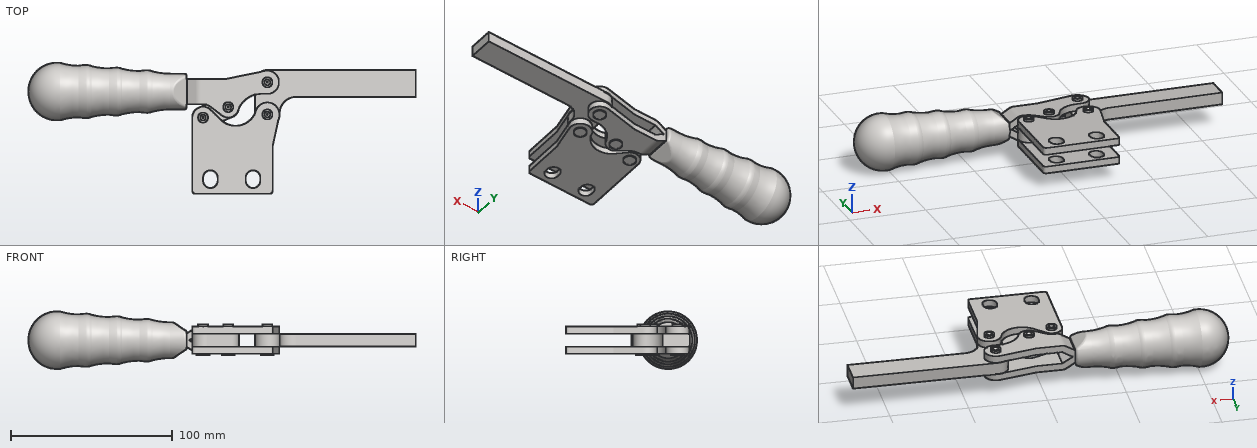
import cadquery as cq
import math


core = 8.0
core_half = core / 2
sheet = 4.5
plate_top = core_half + sheet

base_link_pin = (90.5, -16.0)
handle_link_pin = (106.0, -9.6)
handle_bar_pin = (130.5, 5.8)
base_bar_pin = (130.5, -14.2)
pins = [base_link_pin, handle_link_pin, handle_bar_pin, base_bar_pin]

ball_radius = 18.0
neck_start = 1.7
first_ring = 13.2
ring_radius = 16.0
collar_start = 70.0
ring_count = 3
ring_pitch = (collar_start - first_ring) / ring_count
ring_width = 8.0
ring_crown = 0.5
ring_crest = 4.8
ring_drop = 0.2
ring_taper = 1.64
valley_sag = 0.5
grip_end = 80.4
grip_end_round = 1.7
ramp_start = 72.0
ramp_end_half = 5.5

arm_half = 8.0
arm_start = 72.2
bend_start = 82.0
bend_angle = 31.0
bend_round = 5.8
arm_top_end = 105.0
handle_link_lobe = 6.5
handle_bar_lobe = 7.2
handle_clearance = -arm_half - base_link_pin[1]
handle_depth = 24.0
throat_radius = 15.5

base_left_lobe = 6.7
base_right_lobe = 7.5
base_left = base_link_pin[0] - base_left_lobe
base_right = 133.8
base_bottom = -63.5
base_shoulder = -34.0
base_corner = 2.0
hollow_center = (110.7, -8.0)
hollow_radius = math.dist(hollow_center, base_bar_pin) - base_right_lobe
slot_y = -54.4
slot_xs = (95.0, 121.5)
slot_width = 9.0
slot_length = 10.8

bar_lobe = 7.7
bar_end = 222.5
bar_height = 16.8
bar_fillet = 10.0
link_lobe = 6.7

rivet_radius = 3.1
rivet_top = plate_top + 1.5
rivet_dimple = 1.8
flange_radius = 4.0
flange_height = 0.7


def on_circle(center, radius, angle):
    """Point on a circle at an angle in radians."""
    return (center[0] + radius * math.cos(angle), center[1] + radius * math.sin(angle))


def crossing_tangent(center_a, radius_a, center_b, radius_b, side):
    """Tangent points of the line that passes between two circles; side +1 or -1 picks the line."""
    heading = math.atan2(center_b[1] - center_a[1], center_b[0] - center_a[0])
    lean = math.acos((radius_a + radius_b) / math.dist(center_a, center_b))
    angle = heading + side * lean
    return on_circle(center_a, radius_a, angle), on_circle(center_b, radius_b, angle + math.pi)


def tangent_angle(point, center, radius, side):
    """Angle on a circle where a line from an outside point touches it; side picks the line."""
    heading = math.atan2(point[1] - center[1], point[0] - center[0])
    return heading + side * math.acos(radius / math.dist(point, center))


def angle_of(point, center):
    return math.atan2(point[1] - center[1], point[0] - center[0])


def arc_to(sketch, center, radius, start_angle, end_angle):
    """Continue an outline along a circle between two angles."""
    middle = on_circle(center, radius, (start_angle + end_angle) / 2)
    return sketch.threePointArc(middle, on_circle(center, radius, end_angle))


def arc_toward(sketch, center, radius, start, end):
    """Continue an outline along the shorter arc of a circle between two points."""
    start_angle = angle_of(start, center)
    turn = (angle_of(end, center) - start_angle + math.pi) % math.tau - math.pi
    return arc_to(sketch, center, radius, start_angle, start_angle + turn)


def slab(sketch, bottom, top):
    """Extrude a closed outline between two heights."""
    return sketch.close().extrude(top - bottom).translate((0, 0, bottom))


def make_grip():
    neck_radius = math.sqrt(ball_radius ** 2 - neck_start ** 2)
    neck_mid = ((neck_start + first_ring) / 2, (neck_radius + ring_radius) / 2 - valley_sag)
    profile = (
        cq.Workplane("XY")
        .moveTo(-ball_radius, 0)
        .threePointArc(on_circle((0, 0), ball_radius, 0.75 * math.pi), (neck_start, neck_radius))
        .threePointArc(neck_mid, (first_ring, ring_radius))
    )
    for index in range(ring_count):
        x = first_ring + index * ring_pitch
        radius = ring_radius - index * ring_taper
        ring_end = x + ring_width
        next_ring = x + ring_pitch
        crest_x = x + ring_crest
        crest_radius = radius + ring_crown
        valley = ((ring_end + next_ring) / 2, radius - ring_taper / 2 - valley_sag)
        rise_mid = (x + ring_crest / 2, radius + 0.75 * ring_crown)
        profile = profile.threePointArc(rise_mid, (crest_x, crest_radius))
        profile = profile.tangentArcPoint((ring_end, radius - ring_drop), relative=False)
        profile = profile.threePointArc(valley, (next_ring, radius - ring_taper))
    end_radius = ring_radius - ring_count * ring_taper
    profile = profile.lineTo(grip_end, end_radius).lineTo(grip_end, 0).close()
    grip = profile.revolve(360, (0, 0, 0), (1, 0, 0))

    ramp = (
        cq.Workplane("XZ")
        .polyline([(ramp_start, end_radius), (grip_end, ramp_end_half), (grip_end, end_radius)])
        .close()
        .extrude(ball_radius, both=True)
    )
    grip = grip.cut(ramp).cut(ramp.mirror("XY"))
    return grip.faces("%PLANE").edges().fillet(grip_end_round)


def make_handle_outline():
    """XY outline of the handle plates, as a block over the full height of the fork."""
    relief_start = (base_link_pin[0], -arm_half)
    relief_end, link_start = crossing_tangent(
        base_link_pin, handle_clearance, handle_link_pin, handle_link_lobe, 1
    )
    throat_y = handle_bar_pin[1] - handle_bar_lobe - throat_radius
    throat_reach = throat_radius + handle_link_lobe
    throat_x = handle_link_pin[0] + math.sqrt(throat_reach ** 2 - (throat_y - handle_link_pin[1]) ** 2)
    throat = (throat_x, throat_y)
    link_end = on_circle(handle_link_pin, handle_link_lobe, angle_of(throat, handle_link_pin))
    throat_end = (throat_x, throat_y + throat_radius)
    top_bend = (arm_top_end, arm_half)
    lobe_end = tangent_angle(top_bend, handle_bar_pin, handle_bar_lobe, -1)

    sketch = cq.Workplane("XY").moveTo(arm_start, arm_half).lineTo(arm_start, -arm_half)
    sketch = sketch.lineTo(*relief_start)
    sketch = arc_toward(sketch, base_link_pin, handle_clearance, relief_start, relief_end)
    sketch = sketch.lineTo(*link_start)
    sketch = arc_toward(sketch, handle_link_pin, handle_link_lobe, link_start, link_end)
    sketch = arc_toward(sketch, throat, throat_radius, link_end, throat_end)
    sketch = sketch.lineTo(handle_bar_pin[0], handle_bar_pin[1] - handle_bar_lobe)
    sketch = arc_to(sketch, handle_bar_pin, handle_bar_lobe, -math.pi / 2, lobe_end)
    sketch = sketch.lineTo(*top_bend)
    return slab(sketch, -plate_top, plate_top)


def make_handle():
    """Two mirrored sheets that touch in the grip and spread into a fork around the bar."""
    slope = math.radians(bend_angle)
    run = core_half / math.tan(slope)
    shift = sheet * math.tan(slope / 2)
    plate_end = handle_bar_pin[0] + handle_bar_lobe
    outer_bend = bend_start + run - shift
    leaf = (
        cq.Workplane("XZ")
        .polyline([
            (arm_start, 0),
            (bend_start, 0),
            (bend_start + run, core_half),
            (plate_end, core_half),
            (plate_end, plate_top),
            (outer_bend, plate_top),
            (bend_start - shift, sheet),
            (arm_start, sheet),
        ])
        .close()
        .extrude(handle_depth, both=True)
        .edges(cq.selectors.NearestToPointSelector((outer_bend, 0, plate_top)))
        .fillet(bend_round)
    )
    return make_handle_outline().intersect(leaf.union(leaf.mirror("XY")))


def make_base_plate(bottom):
    shoulder = (base_right, base_shoulder)
    right_start = tangent_angle(shoulder, base_bar_pin, base_right_lobe, 1)
    hollow_start = on_circle(base_bar_pin, base_right_lobe, angle_of(hollow_center, base_bar_pin))
    lobe_start, hollow_end = crossing_tangent(
        base_link_pin, base_left_lobe, hollow_center, hollow_radius, 1
    )
    hollow_start_angle = angle_of(hollow_start, base_bar_pin)

    sketch = cq.Workplane("XY").moveTo(base_left, base_bottom).lineTo(base_right, base_bottom)
    sketch = sketch.lineTo(*shoulder).lineTo(*on_circle(base_bar_pin, base_right_lobe, right_start))
    sketch = arc_to(sketch, base_bar_pin, base_right_lobe, right_start, hollow_start_angle)
    sketch = arc_toward(sketch, hollow_center, hollow_radius, hollow_start, hollow_end)
    sketch = sketch.lineTo(*lobe_start)
    sketch = arc_to(sketch, base_link_pin, base_left_lobe, angle_of(lobe_start, base_link_pin), math.pi)
    plate = slab(sketch, bottom, bottom + sheet)
    for x in (base_left, base_right):
        corner = cq.selectors.NearestToPointSelector((x, base_bottom, bottom + sheet / 2))
        plate = plate.edges(corner).fillet(base_corner)
    slots = (
        cq.Workplane("XY", origin=(0, 0, bottom))
        .pushPoints([(x, slot_y) for x in slot_xs])
        .slot2D(slot_length, slot_width, 90)
        .extrude(sheet)
    )
    return plate.cut(slots)


def make_bar():
    left = handle_bar_pin[0] - bar_lobe
    right = base_bar_pin[0] + bar_lobe
    top = handle_bar_pin[1] + bar_lobe
    bottom = top - bar_height
    sketch = cq.Workplane("XY").moveTo(left, handle_bar_pin[1])
    sketch = arc_to(sketch, handle_bar_pin, bar_lobe, math.pi, math.pi / 2)
    sketch = sketch.lineTo(bar_end, top).lineTo(bar_end, bottom).lineTo(right + bar_fillet, bottom)
    sketch = arc_to(sketch, (right + bar_fillet, bottom - bar_fillet), bar_fillet, math.pi / 2, math.pi)
    sketch = sketch.lineTo(right, base_bar_pin[1])
    sketch = arc_to(sketch, base_bar_pin, bar_lobe, 0, -math.pi)
    return slab(sketch, -core_half, core_half)


def make_link():
    heading = angle_of(handle_link_pin, base_link_pin)
    left_side = heading + math.pi / 2
    right_side = heading - math.pi / 2
    sketch = cq.Workplane("XY").moveTo(*on_circle(base_link_pin, link_lobe, right_side))
    sketch = sketch.lineTo(*on_circle(handle_link_pin, link_lobe, right_side))
    sketch = arc_to(sketch, handle_link_pin, link_lobe, right_side, left_side)
    sketch = sketch.lineTo(*on_circle(base_link_pin, link_lobe, left_side))
    sketch = arc_to(sketch, base_link_pin, link_lobe, left_side, left_side + math.pi)
    return slab(sketch, -core_half, core_half)


def make_rivet(pin):
    """Rivet with a dimpled head on top and a flat flange below."""
    flange_bottom = -plate_top - flange_height
    return (
        cq.Workplane("XZ")
        .polyline([
            (0, flange_bottom),
            (flange_radius, flange_bottom),
            (flange_radius, -plate_top),
            (rivet_radius, -plate_top),
            (rivet_radius, rivet_top),
            (rivet_dimple, rivet_top),
            (0, rivet_top - rivet_dimple),
        ])
        .close()
        .revolve(360, (0, 0, 0), (0, 1, 0))
        .translate((pin[0], pin[1], 0))
    )


result = make_bar().union(make_link())
for plate_bottom in (-plate_top, core_half):
    result = result.union(make_base_plate(plate_bottom))
result = result.union(make_handle())
for pin in pins:
    result = result.union(make_rivet(pin))
result = result.union(make_grip())